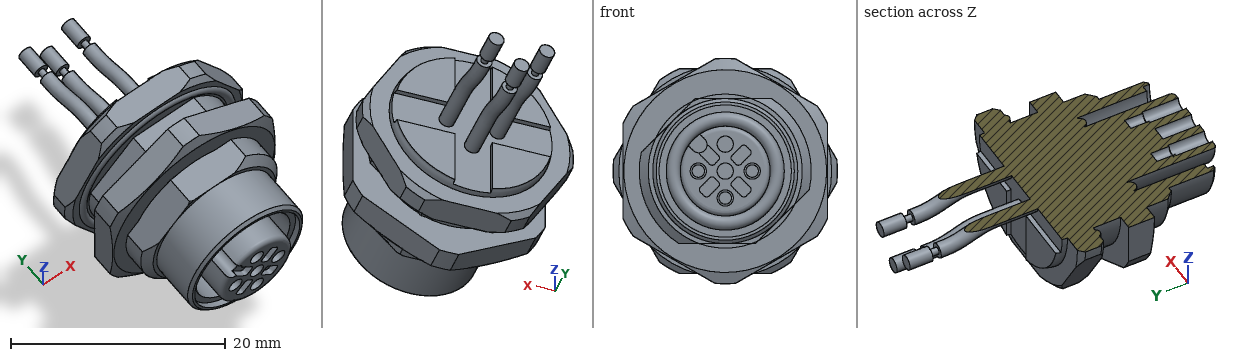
import cadquery as cq
import math

length = 32.15

body_diameter = 16.0
body_front = 6.53
body_chamfer_length = 0.8
body_chamfer_depth = 0.85
flat_width = 13.5
flat_pair_angles = (0, 45)

barrel_diameter = 13.5
barrel_front = 1.48
barrel_chamfer = 0.32
mouth_diameter = 12.3
mouth_depth = 0.65
bore_diameter = 11.0
bore_floor = 9.65

insert_diameter = 8.35
insert_edge_radius = 0.48
socket_seal_radius = (bore_diameter - insert_diameter) / 4
contact_radius = 2.5
contact_hole_diameter = 1.5
contact_hole_depth = 3.85
contact_bore_diameter = 1.15
contact_bore_depth = 5.8
wired_positions = ((-contact_radius, 0), (contact_radius, 0), (0, -contact_radius))
open_positions = ((0, 0), (0, contact_radius))

key_angle = 135
key_center_radius = 3.47
key_width = 1.5
pocket_angles = (45, 135, 225, 315)
pocket_inner_radius = 1.15
pocket_outer_radius = 3.02
pocket_width = 1.15
pocket_corner_radius = 0.32
pocket_depth = 0.65

hex_flat_width = 19.05
front_nut_corner_diameter = 21.0
front_nut_bore = 14.35
front_nut_front = 9.58
front_nut_back = 12.38
front_nut_chamfer_length = 0.45
front_nut_chamfer_depth = 1.05
collar_corner_diameter = 20.9
collar_front = 15.25
collar_back = 18.05
collar_chamfer_length = 0.55
collar_chamfer_depth = 0.55

seal_thickness = 1.0
seal_diameter = 17.43
seal_front = 14.95

rim_back = 19.05
rim_shoulder = 18.87
rim_edge_diameter = 15.7
rim_face_diameter = 15.62
slot_floor = 18.58
slot_width = 3.7

wire_diameter = 1.5
wire_bend_start = 22.63
wire_bend_end = 28.15
wire_drop = 1.2
sleeve_end = 28.85
strand_diameter = 0.7
tip_start = 29.7


def turned(points):
    """Revolve a closed (radius, Y) outline about the Y axis."""
    return cq.Workplane("XY").polyline(points).close().revolve(360, (0, 0), (0, 1))


def rod(x, z, diameter, start, end):
    """Cylinder along Y from start to end."""
    plane = cq.Plane(origin=(x, start, z), xDir=(1, 0, 0), normal=(0, 1, 0))
    return cq.Workplane(plane).circle(diameter / 2).extrude(end - start)


def box(x_size, z_size, start, end):
    """Block centred on the Y axis, from start to end."""
    return cq.Workplane("XY").box(x_size, end - start, z_size).translate((0, (start + end) / 2, 0))


def turn_about_axis(solid, angle):
    """Rotate about Y so that +X moves towards +Z for a positive angle."""
    return solid.rotate((0, 0, 0), (0, 1, 0), -angle)


def hexagon(start, end, first_corner_angle):
    """Hexagonal prism along Y."""
    plane = cq.Plane(origin=(0, start, 0), xDir=(1, 0, 0), normal=(0, 1, 0))
    corner_to_corner = hex_flat_width / math.cos(math.radians(30))
    prism = cq.Workplane(plane).polygon(6, corner_to_corner).extrude(end - start)
    return turn_about_axis(prism, first_corner_angle)


def make_body():
    radius = body_diameter / 2
    body = turned([
        (0, body_front),
        (radius - body_chamfer_depth, body_front),
        (radius, body_front + body_chamfer_length),
        (radius, collar_front),
        (0, collar_front),
    ])
    for angle in flat_pair_angles:
        slab = box(2 * body_diameter, flat_width, body_front, collar_front)
        body = body.intersect(turn_about_axis(slab, angle))
    return body


def make_barrel():
    radius = barrel_diameter / 2
    return turned([
        (0, barrel_front),
        (radius - barrel_chamfer, barrel_front),
        (radius, barrel_front + barrel_chamfer),
        (radius, body_front),
        (0, body_front),
    ])


def make_socket():
    """Ring-shaped cavity around the insert, with a half-round seal standing on its floor."""
    inner = insert_diameter / 2
    outer = bore_diameter / 2
    step = barrel_front + mouth_depth
    return (
        cq.Workplane("XY")
        .moveTo(inner, barrel_front)
        .lineTo(mouth_diameter / 2, barrel_front)
        .lineTo(mouth_diameter / 2, step)
        .lineTo(outer, step)
        .lineTo(outer, bore_floor)
        .threePointArc(((inner + outer) / 2, bore_floor - socket_seal_radius), (inner, bore_floor))
        .close()
        .revolve(360, (0, 0), (0, 1))
    )


def make_insert():
    insert = rod(0, 0, insert_diameter, 0, bore_floor)
    return insert.faces("<Y").edges().fillet(insert_edge_radius)


def make_contact_holes():
    holes = cq.Workplane("XY")
    for x, z in wired_positions + open_positions:
        holes = holes.add(rod(x, z, contact_hole_diameter, 0, contact_hole_depth))
    for x, z in wired_positions:
        holes = holes.add(rod(x, z, contact_bore_diameter, 0, contact_bore_depth))
    return holes.combine()


def make_key_groove():
    """Round-bottomed groove along the insert, open outwards and ending at the crest of the seal."""
    end = bore_floor - socket_seal_radius
    bottom = rod(key_center_radius, 0, key_width, 0, end)
    reach = insert_diameter / 2 - key_center_radius
    opening = box(reach, key_width, 0, end).translate((key_center_radius + reach / 2, 0, 0))
    return turn_about_axis(bottom.union(opening), key_angle)


def make_pockets():
    pocket_length = pocket_outer_radius - pocket_inner_radius
    pocket = (
        box(pocket_length, pocket_width, 0, pocket_depth)
        .edges("|Y")
        .fillet(pocket_corner_radius)
        .translate((pocket_inner_radius + pocket_length / 2, 0, 0))
    )
    pockets = cq.Workplane("XY")
    for angle in pocket_angles:
        pockets = pockets.add(turn_about_axis(pocket, angle))
    return pockets.combine()


def make_front_nut():
    radius = front_nut_corner_diameter / 2
    envelope = turned([
        (0, front_nut_front),
        (radius - front_nut_chamfer_depth, front_nut_front),
        (radius, front_nut_front + front_nut_chamfer_length),
        (radius, front_nut_back),
        (0, front_nut_back),
    ])
    bore = rod(0, 0, front_nut_bore, front_nut_front, front_nut_back)
    return hexagon(front_nut_front, front_nut_back, 90).intersect(envelope).cut(bore)


def make_collar():
    radius = collar_corner_diameter / 2
    envelope = turned([
        (0, collar_front),
        (radius - collar_chamfer_depth, collar_front),
        (radius, collar_front + collar_chamfer_length),
        (radius, collar_back - collar_chamfer_length),
        (radius - collar_chamfer_depth, collar_back),
        (0, collar_back),
    ])
    return hexagon(collar_front, collar_back, 0).intersect(envelope)


def make_seal():
    center_radius = seal_diameter / 2
    return (
        cq.Workplane("XY")
        .center(center_radius, seal_front + seal_thickness / 2)
        .circle(seal_thickness / 2)
        .revolve(360, (-center_radius, 0), (-center_radius, 1))
    )


def make_rim():
    """Crowned ring behind the collar, bevelled at its rear edge and crossed by two slots."""
    base_radius = body_diameter / 2
    edge_radius = rim_edge_diameter / 2
    crown_radius = base_radius - (base_radius - edge_radius) / 4
    rim = (
        cq.Workplane("XY")
        .moveTo(0, collar_back)
        .lineTo(base_radius, collar_back)
        .threePointArc((crown_radius, (collar_back + rim_shoulder) / 2), (edge_radius, rim_shoulder))
        .lineTo(rim_face_diameter / 2, rim_back)
        .lineTo(0, rim_back)
        .close()
        .revolve(360, (0, 0), (0, 1))
    )
    rim = rim.cut(box(slot_width, body_diameter, slot_floor, rim_back))
    return rim.cut(box(body_diameter, slot_width, slot_floor, rim_back))


def make_bend(x, z):
    """Wire stretch that steps down in a smooth S and leaves both ends parallel to Y."""
    path = cq.Workplane("YZ", origin=(x, 0, 0)).spline(
        [(wire_bend_start, z), (wire_bend_end, z - wire_drop)],
        tangents=[(1, 0), (1, 0)],
    )
    plane = cq.Plane(origin=(x, wire_bend_start, z), xDir=(1, 0, 0), normal=(0, 1, 0))
    return cq.Workplane(plane).circle(wire_diameter / 2).sweep(path)


def make_wire(x, z):
    end_z = z - wire_drop
    return (
        rod(x, z, wire_diameter, collar_back, wire_bend_start)
        .union(make_bend(x, z))
        .union(rod(x, end_z, wire_diameter, wire_bend_end, sleeve_end))
        .union(rod(x, end_z, strand_diameter, sleeve_end, tip_start))
        .union(rod(x, end_z, wire_diameter, tip_start, length))
    )


result = make_body().union(make_barrel()).cut(make_socket()).union(make_insert())
result = result.cut(make_contact_holes()).cut(make_key_groove()).cut(make_pockets())
result = result.union(make_front_nut()).union(make_collar()).union(make_rim()).union(make_seal())
for wire_x, wire_z in wired_positions:
    result = result.union(make_wire(wire_x, wire_z))